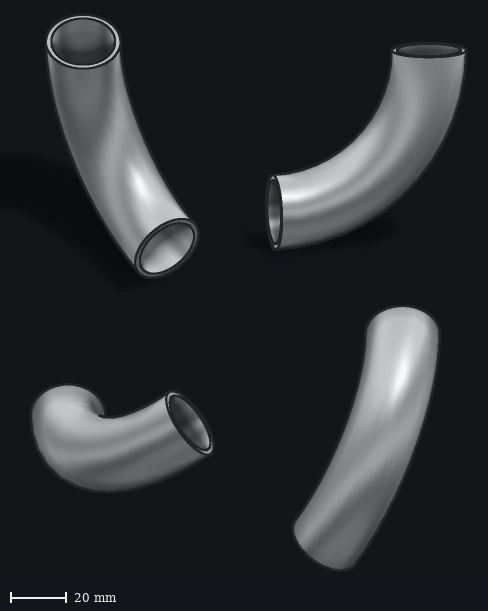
import cadquery as cq

overall_size = 70.45
outer_diameter = 26.9
wall_thickness = 2.0
bend_angle = 90.0

outer_radius = outer_diameter / 2
inner_radius = outer_radius - wall_thickness
bend_radius = overall_size - outer_radius

end_ring = cq.Workplane("XY").circle(outer_radius).circle(inner_radius)

axis_start = (bend_radius, 0)
axis_end = (bend_radius, -1)
result = end_ring.revolve(bend_angle, axis_start, axis_end)